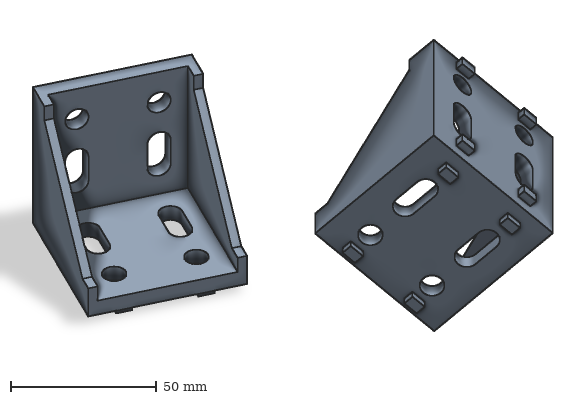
import cadquery as cq

leg = 58.0
plate = 6.0
cheek = 3.5
cheek_end = 12.0
cheek_step = 6.0

row_spacing = 30.0
hole_diameter = 8.5
hole_place = 45.0
slot_place = 23.0
slot_length = 18.55

tab_height = 3.0
tab_length = 3.95
tab_width = 6.0
first_tab = 5.0
tab_spacing = 46.6

ROWS = (-row_spacing / 2, row_spacing / 2)


def make_body():
    """Two plates at a right angle, joined by sloping side walls."""
    outline = [
        (0, 0),
        (leg, 0),
        (leg, cheek_end),
        (leg - cheek_step, cheek_end),
        (cheek_end, leg - cheek_step),
        (cheek_end, leg),
        (0, leg),
    ]
    body = cq.Workplane("XZ").polyline(outline).close().extrude(leg / 2, both=True)
    inside = cq.Workplane("XY").box(leg, leg - 2 * cheek, leg, centered=(False, True, False))
    return body.cut(inside.translate((plate, 0, plate)))


def floor_openings():
    """Cutters for the round holes and slots through the horizontal plate."""
    floor = cq.Workplane("XY")
    holes = floor.pushPoints([(hole_place, y) for y in ROWS]).circle(hole_diameter / 2).extrude(plate)
    slots = floor.pushPoints([(slot_place, y) for y in ROWS]).slot2D(slot_length, hole_diameter).extrude(plate)
    return holes.union(slots)


def floor_tabs():
    """Locating tabs below the horizontal plate."""
    centers = [
        (start + tab_length / 2, y)
        for start in (first_tab, first_tab + tab_spacing)
        for y in ROWS
    ]
    return cq.Workplane("XY").pushPoints(centers).rect(tab_length, tab_width).extrude(-tab_height)


def on_upright(shape):
    """Swap the X and Z of a floor feature, moving it onto the upright plate."""
    return shape.rotate((0, 0, 0), (0, 1, 0), -90).mirror("YZ")


result = make_body()
for openings in (floor_openings(), on_upright(floor_openings())):
    result = result.cut(openings)
for tabs in (floor_tabs(), on_upright(floor_tabs())):
    result = result.union(tabs)